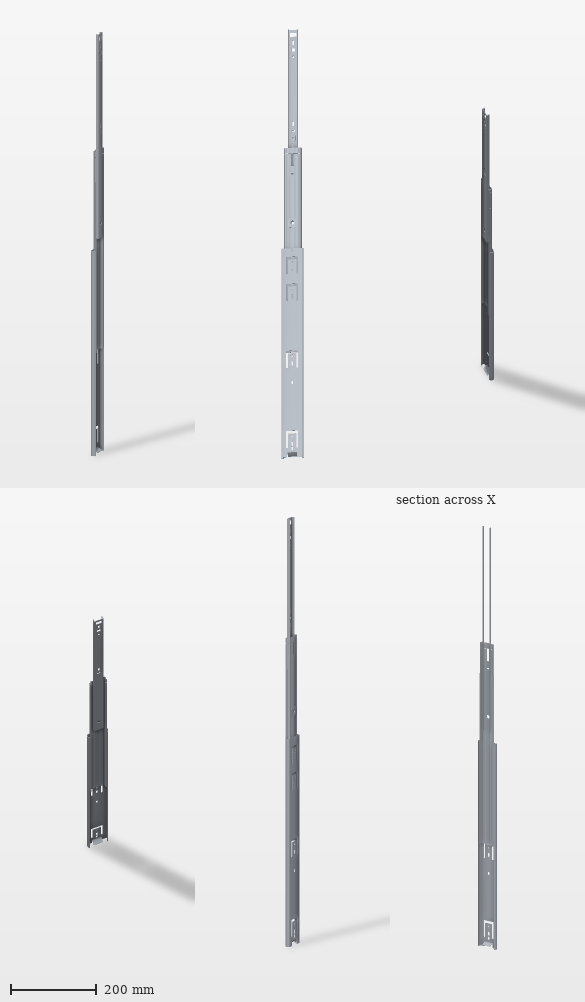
import cadquery as cq
import math


total_height = 1025.0
slide_depth = 13.0
sheet = 1.0
slot_width = 4.0

outer_width = 52.0
outer_depth = 12.0
outer_top = 500.0

middle_width = 41.0
middle_back_x = 2.6
middle_front_x = 12.0
middle_bottom = 251.0
middle_top = 727.0
end_stop_gap = 1.0
end_stop_top = 741.0

inner_width = 24.0
inner_bottom = 527.0
inner_back_x = 6.0


def block_between(x, y, z):
    """A box given by its (low, high) limits along X, Y and Z."""
    size = [high - low for low, high in (x, y, z)]
    return cq.Workplane("XY").box(*size, centered=False).translate((x[0], y[0], z[0]))


def window(z_low, z_high, width, y_mid=0):
    """Cutter for a rectangular opening right through the slide along X."""
    return block_between((0, slide_depth), (y_mid - width / 2, y_mid + width / 2), (z_low, z_high))


def round_hole(diameter, z):
    """Cutter for a round hole right through the slide along X."""
    return cq.Workplane("YZ").center(0, z).circle(diameter / 2).extrude(slide_depth)


def recessed_hole(diameter, recess_diameter, z, back_x):
    """Cutter for a through hole with a shallow round recess in the back of a sheet at back_x."""
    recess = cq.Workplane("YZ").workplane(offset=back_x).center(0, z).circle(recess_diameter / 2)
    return round_hole(diameter, z).union(recess.extrude(sheet / 2))


def upright_slot(z_low, z_high):
    """Cutter for a round-ended slot along Z on the centre line."""
    middle = (z_low + z_high) / 2
    return cq.Workplane("YZ").center(0, middle).slot2D(z_high - z_low, slot_width, 90).extrude(slide_depth)


outer_half = outer_width / 2
outer_back_bend = 3.0
outer_front_bend = 6.7
outer_mouth = 43.0
top_notch = 8.0
stop_slot = (175.0, 183.0)
foot_slot = (17.0, 26.0)

bracket_tops = [480.0, 415.0, 255.0, 64.0]
bracket_slot_spans = [(29.0, 34.0), (26.0, 36.0), (26.0, 36.0), (26.0, 36.0)]
bracket_width = 29.0
bracket_height = 41.0
bracket_bar = 6.0
bracket_leg = 4.0
bracket_screw_drop = 13.0
screw_hole = 3.0
screw_recess = 7.0

tab_width = 24.0
tab_top = 12.0
tab_bottom = 4.0
tab_front_x = 11.0


def cut_bracket(rail, top, slot_span):
    rail = rail.cut(window(top - bracket_bar, top, bracket_width))
    leg_y = (bracket_width - bracket_leg) / 2
    for y in (-leg_y, leg_y):
        rail = rail.cut(window(top - bracket_height, top, bracket_leg, y))
    rail = rail.cut(recessed_hole(screw_hole, screw_recess, top - bracket_screw_drop, 0))
    return rail.cut(upright_slot(top - slot_span[1], top - slot_span[0]))


def make_outer_rail():
    rail = block_between((0, outer_depth), (-outer_half, outer_half), (0, outer_top))
    rail = rail.edges("|Z and <X").fillet(outer_back_bend)
    rail = rail.edges("|Z and >X").fillet(outer_front_bend)
    inside_half = outer_half - sheet
    hollow = block_between((sheet, outer_depth - sheet), (-inside_half, inside_half), (0, outer_top))
    hollow = hollow.edges("|Z and <X").fillet(outer_back_bend - sheet)
    hollow = hollow.edges("|Z and >X").fillet(outer_front_bend - sheet)
    mouth = block_between((outer_depth / 2, outer_depth), (-outer_mouth / 2, outer_mouth / 2), (0, outer_top))
    rail = rail.cut(hollow).cut(mouth)

    for top, slot_span in zip(bracket_tops, bracket_slot_spans):
        rail = cut_bracket(rail, top, slot_span)
    for low, high in (stop_slot, foot_slot):
        rail = rail.cut(upright_slot(low, high))
    rail = rail.cut(window(outer_top - top_notch, outer_top, slot_width))

    rail = rail.cut(window(0, tab_top, tab_width))
    tab_side = [(0, tab_top), (sheet, tab_top), (tab_front_x, tab_bottom + sheet), (tab_front_x, tab_bottom)]
    tab = cq.Workplane("XZ").polyline(tab_side).close().extrude(tab_width / 2, both=True)
    root = block_between((0, sheet), (-tab_width / 2, tab_width / 2), (tab_top, tab_top + sheet))
    return rail.union(tab).union(root)


middle_half = middle_width / 2
rib_half = 4.0
rib_foot = 7.0
rib_height = 1.0
shoulder_start = 13.0
shoulder_end = 14.0
shoulder_edge = 17.0
track_back_x = 7.0
track_front_x = 10.0
track_slope = 0.5
track_depth = 2.0
track_floor = middle_half - track_depth
lever_window_bottom = 697.0
lever_window_width = 6.0
web_slot = (678.0, 681.0)

lock_z = 562.0
lock_hole = 9.0

middle_half_path = [
    (middle_back_x, rib_half),
    (middle_back_x + rib_height, rib_foot),
    (middle_back_x + rib_height, shoulder_start),
    (middle_back_x, shoulder_end),
    (middle_back_x, shoulder_edge),
    (track_back_x - track_slope, middle_half),
    (track_back_x, track_floor),
    (track_front_x, track_floor),
    (track_front_x + track_slope, middle_half),
    (middle_front_x, middle_half),
]


def middle_section(bottom, top):
    """The middle rail's bent sheet: the half path mirrored in Y, then thickened towards the inside."""
    path = [(x, -y) for x, y in reversed(middle_half_path)] + middle_half_path
    headings = [math.atan2(y1 - y0, x1 - x0) for (x0, y0), (x1, y1) in zip(path, path[1:])]
    inside = []
    for (x, y), before, after in zip(path, headings[:1] + headings, headings + headings[-1:]):
        bisector = (before + after) / 2
        reach = sheet / math.cos((after - before) / 2)
        inside.append((x + reach * math.sin(bisector), y - reach * math.cos(bisector)))
    outline = path + inside[::-1]
    section = cq.Workplane("XY").workplane(offset=bottom).polyline(outline).close()
    return section.extrude(top - bottom)


def make_middle_rail():
    rail = middle_section(middle_bottom, middle_top)
    rail = rail.cut(window(lever_window_bottom, middle_top, lever_window_width))
    rail = rail.cut(window(*web_slot, lever_window_width))
    return rail.cut(round_hole(lock_hole, lock_z))


def make_end_stop():
    """A short piece of the middle rail's section, capping its top."""
    return middle_section(middle_top + end_stop_gap, end_stop_top)


flange_thick = 2.0
top_window = (1009.0, 1018.0, 15.0)
guide_windows = [(974.0, 981.0, 9.0), (782.0, 785.0, 9.0)]
inner_slots = [(989.0, 999.0), (795.0, 806.0)]
catch_recess = 10.0
catch_hole = 4.0
catch_z = 959.0


def make_inner_rail():
    half = inner_width / 2
    inside_half = half - flange_thick
    rim_x = inner_back_x + flange_thick / 2
    web_x = slide_depth - sheet
    section = (
        cq.Workplane("XY")
        .workplane(offset=inner_bottom)
        .moveTo(slide_depth, -half)
        .lineTo(slide_depth, half)
        .lineTo(rim_x, half)
        .threePointArc((inner_back_x, half - flange_thick / 2), (rim_x, inside_half))
        .lineTo(web_x, inside_half)
        .lineTo(web_x, -inside_half)
        .lineTo(rim_x, -inside_half)
        .threePointArc((inner_back_x, flange_thick / 2 - half), (rim_x, -half))
        .close()
    )
    rail = section.extrude(total_height - inner_bottom)
    for low, high, width in [top_window] + guide_windows:
        rail = rail.cut(window(low, high, width))
    for low, high in inner_slots:
        rail = rail.cut(upright_slot(low, high))
    rail = rail.cut(recessed_hole(catch_hole, catch_recess, catch_z, web_x))
    return rail.cut(round_hole(lock_hole, lock_z))


lock_width = 23.0
lock_height = 22.0
lock_thick = 1.0
lock_corner = 3.0


def make_lock_block():
    block = block_between(
        (middle_back_x - lock_thick, middle_back_x),
        (-lock_width / 2, lock_width / 2),
        (lock_z - lock_height / 2, lock_z + lock_height / 2),
    )
    block = block.edges("|X and >Z").chamfer(lock_corner)
    return block.cut(round_hole(lock_hole, lock_z))


lever_hole = 5.0
lever_hole_z = 766.0
lever_outline = [
    (-5.0, 772.0), (4.0, 772.0), (4.0, 701.0), (-3.0, 701.0), (-3.0, 744.0), (1.0, 752.0), (-5.0, 761.0),
]


def make_release_lever():
    web_x = slide_depth - sheet
    lever = cq.Workplane("YZ").workplane(offset=web_x - sheet)
    lever = lever.polyline(lever_outline).close().extrude(sheet)
    return lever.cut(round_hole(lever_hole, lever_hole_z))


strip_x = 2.0
strip_y = 1.5
strip_top = 666.0


def make_ball_strip(side):
    """side is +1 or -1 along Y."""
    x_mid = (track_back_x + track_front_x) / 2
    y_mid = side * (track_floor + strip_y / 2)
    return block_between(
        (x_mid - strip_x / 2, x_mid + strip_x / 2),
        (y_mid - strip_y / 2, y_mid + strip_y / 2),
        (middle_bottom, strip_top),
    )


outer_rail = make_outer_rail()
middle_rail = make_middle_rail()
end_stop = make_end_stop()
inner_rail = make_inner_rail()
lock_block = make_lock_block()
release_lever = make_release_lever()
ball_strips = [make_ball_strip(side) for side in (-1, 1)]

result = cq.Compound.makeCompound(
    [body.val() for body in (outer_rail, middle_rail, end_stop, inner_rail, lock_block, release_lever)]
    + [strip.val() for strip in ball_strips]
)